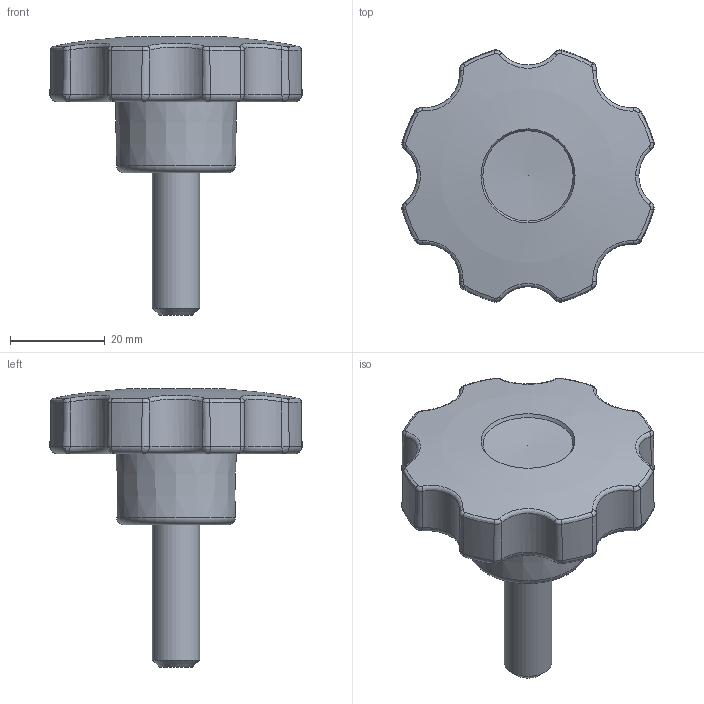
import cadquery as cq
import math

STUD_LENGTH = 30.0
HUB_LENGTH = 15.0
DOME_APEX_Z = 29.0

DRAFT_ANGLE = 1.0
DRAFT = math.tan(math.radians(DRAFT_ANGLE))

STUD_RADIUS = 5.0
STUD_CHAMFER = 1.5

HUB_RADIUS = 12.75
HUB_FILLET = 1.5

HEAD_RADIUS = 27.5
DOME_RADIUS = 150.0
LOBE_COUNT = 8
SCALLOP_RADIUS = 7.25
SCALLOP_DEPTH = 4.15
LOBE_CORNER_FILLET = 1.6
HEAD_BOTTOM_FILLET = 1.5
HEAD_TOP_FILLET = 0.8

RECESS_RADIUS = 9.9
RECESS_WALL_DEPTH = 0.7
RECESS_FLOOR_RADIUS = 9.5
RECESS_CENTRE_DEPTH = 1.1

HEAD_HEIGHT = DOME_APEX_Z - HUB_LENGTH
SCALLOP_CENTRE = HEAD_RADIUS - SCALLOP_DEPTH + SCALLOP_RADIUS
RIM_Z = DOME_APEX_Z - DOME_RADIUS + math.sqrt(DOME_RADIUS**2 - RECESS_RADIUS**2)


def revolve(profile):
    """Turn an (r, z) outline once around the Z axis."""
    return profile.close().revolve(360, (0, 0, 0), (0, 1, 0))


def make_stud():
    stud = cq.Workplane("XY").circle(STUD_RADIUS).extrude(-STUD_LENGTH)
    return stud.faces("<Z").chamfer(STUD_CHAMFER)


def make_hub():
    end_radius = HUB_RADIUS - HUB_LENGTH * DRAFT
    profile = (
        cq.Workplane("XZ")
        .lineTo(end_radius, 0)
        .lineTo(HUB_RADIUS, HUB_LENGTH)
        .lineTo(0, HUB_LENGTH)
    )
    return revolve(profile).faces("<Z").edges().fillet(HUB_FILLET)


def make_drafted_disc():
    """Disc that narrows upward, tall enough to hold the whole crown."""
    top_radius = HEAD_RADIUS - HEAD_HEIGHT * DRAFT
    profile = (
        cq.Workplane("XZ", origin=(0, 0, HUB_LENGTH))
        .lineTo(HEAD_RADIUS, 0)
        .lineTo(top_radius, HEAD_HEIGHT)
        .lineTo(0, HEAD_HEIGHT)
    )
    return revolve(profile)


def make_scallop_cutters():
    """Straight cylinders spaced evenly around the rim."""
    return (
        cq.Workplane("XY", origin=(0, 0, HUB_LENGTH))
        .polarArray(SCALLOP_CENTRE, 0, 360, LOBE_COUNT)
        .circle(SCALLOP_RADIUS)
        .extrude(HEAD_HEIGHT)
    )


def make_head():
    head = make_drafted_disc().cut(make_scallop_cutters())
    head = head.edges("not %CIRCLE").fillet(LOBE_CORNER_FILLET)
    dome_centre_z = DOME_APEX_Z - DOME_RADIUS
    dome = cq.Workplane("XY", origin=(0, 0, dome_centre_z)).sphere(DOME_RADIUS)
    head = head.intersect(dome)
    head = head.faces("<Z").edges().fillet(HEAD_BOTTOM_FILLET)
    return head.faces("%SPHERE").edges().fillet(HEAD_TOP_FILLET)


def make_recess_cutter():
    """Tapered wall with a dished floor that is lowest on the axis."""
    floor_edge_z = RIM_Z - RECESS_WALL_DEPTH
    profile = (
        cq.Workplane("XZ")
        .moveTo(0, RIM_Z - RECESS_CENTRE_DEPTH)
        .lineTo(RECESS_FLOOR_RADIUS, floor_edge_z)
        .lineTo(RECESS_RADIUS, RIM_Z)
        .lineTo(RECESS_RADIUS, DOME_APEX_Z)
        .lineTo(0, DOME_APEX_Z)
    )
    return revolve(profile)


result = make_head().union(make_hub()).union(make_stud()).cut(make_recess_cutter())